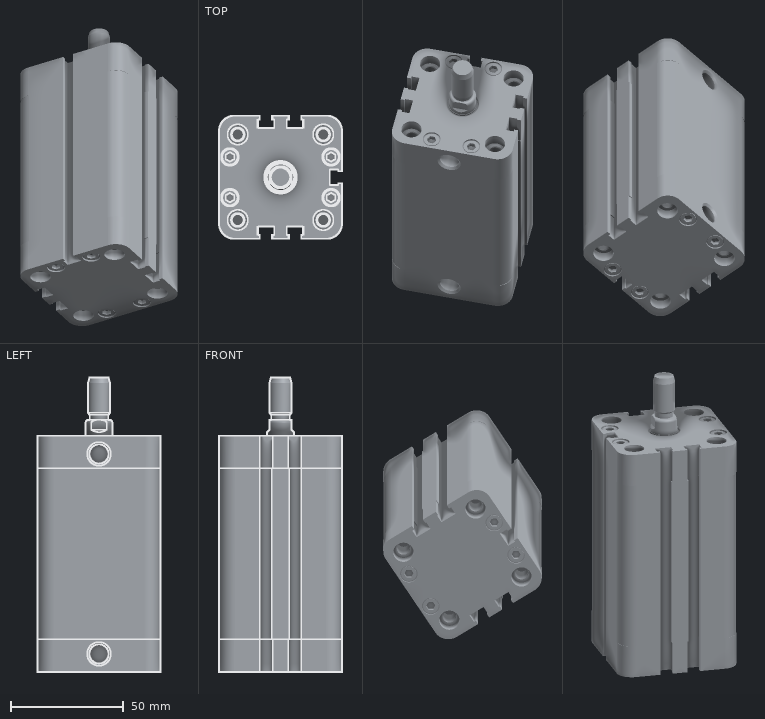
import cadquery as cq
import math

side = 54.8
total_height = 131.0
body_top = 105.0
cap_height = 14.5
cap_corner_radius = 6.8
barrel_corner_radius = 7.2
half_side = side / 2

slot_depth = 5.5
lip_thickness = 1.8
pocket_near = 2.9
mouth_far = 9.2
cap_pocket_far = 10.2
cap_mouth_near = 3.4
barrel_pocket_far = 9.8
barrel_mouth_near = 3.8
side_slot_mouth = 5.2
side_slot_width = 6.8

mount_spacing = 38.0
mount_diameter = 5.2
mount_chamfer = 0.4
counterbore_diameter = 9.0
counterbore_depth = 5.2

screw_spacing_x = 44.9
screw_spacing_y = 18.1
screw_seat_diameter = 7.9
screw_head_diameter = 6.8
screw_head_drop = 0.4
screw_gap_depth = 0.8
socket_flats = 3.7
socket_depth = 2.0

port_height = 8.1
port_diameter = 8.5
port_mouth_diameter = 10.5
port_chamfer = (port_mouth_diameter - port_diameter) / 2
bore_diameter = 40.0

rod_diameter = 12.0
rod_fillet = 1.5
rod_shoulder = 112.1
neck_diameter = 8.3
thread_diameter = 10.0
thread_bottom = 115.1
tip_height = 2.6
tip_diameter = 8.5
flat_width = 10.0
flat_bottom = 107.7
seal_mouth_diameter = 14.5
seal_outer_diameter = 13.8
seal_inner_diameter = 12.6
seal_groove_depth = 0.7


def square_prism(height, corner_radius):
    return cq.Workplane("XY").rect(side, side).extrude(height).edges("|Z").fillet(corner_radius)


def t_slot(height, mouth_start, mouth_end, pocket_start, pocket_end):
    """T-slot cutter open towards -Y, its mouth on the -Y side of the body."""
    mouth_y = -half_side
    lip_y = mouth_y + lip_thickness
    floor_y = mouth_y + slot_depth
    outline = [
        (mouth_start, mouth_y),
        (mouth_start, lip_y),
        (pocket_start, lip_y),
        (pocket_start, floor_y),
        (pocket_end, floor_y),
        (pocket_end, lip_y),
        (mouth_end, lip_y),
        (mouth_end, mouth_y),
    ]
    return cq.Workplane("XY").polyline(outline).close().extrude(height)


def cut_slots(block, height, mouth_near, pocket_far):
    right_slot = t_slot(height, mouth_near, mouth_far, pocket_near, pocket_far)
    for slot in (right_slot, right_slot.mirror("YZ")):
        block = block.cut(slot).cut(slot.mirror("XZ"))
    half_mouth = side_slot_mouth / 2
    half_width = side_slot_width / 2
    side_slot = t_slot(height, -half_mouth, half_mouth, -half_width, half_width)
    return block.cut(side_slot.rotate((0, 0, 0), (0, 0, 1), 90))


def port_cutter():
    """Blind port that enters from the -X face and ends on the bore cylinder."""
    profile = [
        (-half_side, 0),
        (-half_side, port_mouth_diameter / 2),
        (-half_side + port_chamfer, port_diameter / 2),
        (0, port_diameter / 2),
        (0, 0),
    ]
    hole = cq.Workplane("XY").polyline(profile).close().revolve(360, (0, 0, 0), (1, 0, 0))
    bore = cq.Workplane("XY").circle(bore_diameter / 2).extrude(side, both=True)
    return hole.cut(bore)


def mounting_hole():
    """Counterbored through hole on the Z axis, with a small countersink at the counterbore floor."""
    counterbore_radius = counterbore_diameter / 2
    hole_radius = mount_diameter / 2
    floor = cap_height - counterbore_depth
    profile = [
        (0, 0),
        (hole_radius, 0),
        (hole_radius, floor - mount_chamfer),
        (hole_radius + mount_chamfer, floor),
        (counterbore_radius, floor),
        (counterbore_radius, cap_height),
        (0, cap_height),
    ]
    return cq.Workplane("XZ").polyline(profile).close().revolve(360, (0, 0, 0), (0, 1, 0))


def screw_recess():
    """Space around one screw head: sunken seat, ring gap and hex socket."""
    head_top = cap_height - screw_head_drop
    socket_corners = socket_flats / math.cos(math.pi / 6)
    seat = cq.Workplane("XY", origin=(0, 0, cap_height)).circle(screw_seat_diameter / 2)
    seat = seat.extrude(-screw_gap_depth)
    head = cq.Workplane("XY").circle(screw_head_diameter / 2).extrude(head_top)
    socket = cq.Workplane("XY").polygon(6, socket_corners).extrude(-socket_depth)
    socket = socket.rotate((0, 0, 0), (0, 0, 1), 30).translate((0, 0, head_top))
    return seat.cut(head).union(socket)


def cut_at_corners(block, cutter, spacing_x, spacing_y):
    for x in (-spacing_x / 2, spacing_x / 2):
        for y in (-spacing_y / 2, spacing_y / 2):
            block = block.cut(cutter.translate((x, y, 0)))
    return block


def make_cap():
    """Cap with its outer end face at the top."""
    cap = square_prism(cap_height, cap_corner_radius)
    cap = cut_slots(cap, cap_height, cap_mouth_near, cap_pocket_far)
    cap = cut_at_corners(cap, mounting_hole(), mount_spacing, mount_spacing)
    cap = cut_at_corners(cap, screw_recess(), screw_spacing_x, screw_spacing_y)
    return cap.cut(port_cutter().translate((0, 0, cap_height - port_height)))


def seal_groove():
    """Ring groove around the rod, chamfered at its outer edge."""
    outer_radius = seal_outer_diameter / 2
    inner_radius = seal_inner_diameter / 2
    mouth_radius = seal_mouth_diameter / 2
    floor = cap_height - seal_groove_depth
    profile = [
        (inner_radius, floor),
        (outer_radius, floor),
        (outer_radius, cap_height - (mouth_radius - outer_radius)),
        (mouth_radius, cap_height),
        (inner_radius, cap_height),
    ]
    return cq.Workplane("XZ").polyline(profile).close().revolve(360, (0, 0, 0), (0, 1, 0))


def make_upper_cap():
    rod_hole = cq.Workplane("XY").circle(rod_diameter / 2).extrude(cap_height)
    cap = make_cap().cut(rod_hole).cut(seal_groove())
    return cap.translate((0, 0, body_top - cap_height))


def make_lower_cap():
    return make_cap().mirror("XY").translate((0, 0, cap_height))


def make_barrel():
    height = body_top - 2 * cap_height
    barrel = square_prism(height, barrel_corner_radius)
    barrel = cut_slots(barrel, height, barrel_mouth_near, barrel_pocket_far)
    return barrel.translate((0, 0, cap_height))


def make_rod():
    """Rod seated in the upper cap, with a threaded end, a neck and two wrench flats."""
    rod_radius = rod_diameter / 2
    neck_radius = neck_diameter / 2
    thread_radius = thread_diameter / 2
    rod_base = body_top - cap_height
    thread_runout = thread_radius - neck_radius
    arc_inset = rod_fillet * (1 - math.sqrt(0.5))
    arc_middle = (rod_radius - arc_inset, rod_shoulder - arc_inset)
    arc_end = (rod_radius - rod_fillet, rod_shoulder)
    rod = (
        cq.Workplane("XZ")
        .moveTo(0, rod_base)
        .lineTo(rod_radius, rod_base)
        .lineTo(rod_radius, rod_shoulder - rod_fillet)
        .threePointArc(arc_middle, arc_end)
        .lineTo(neck_radius, rod_shoulder)
        .lineTo(neck_radius, thread_bottom - thread_runout)
        .lineTo(thread_radius, thread_bottom)
        .lineTo(thread_radius, total_height - tip_height)
        .lineTo(tip_diameter / 2, total_height)
        .lineTo(0, total_height)
        .close()
        .revolve(360, (0, 0, 0), (0, 1, 0))
    )
    flat_depth = (rod_diameter - flat_width) / 2
    flat = (
        cq.Workplane("XZ")
        .moveTo(flat_width / 2, rod_shoulder)
        .lineTo(flat_width / 2, flat_bottom)
        .lineTo(rod_radius, flat_bottom - flat_depth)
        .lineTo(rod_radius, rod_shoulder)
        .close()
        .extrude(rod_radius, both=True)
    )
    return rod.cut(flat).cut(flat.mirror("YZ"))


lower_cap = make_lower_cap()
barrel = make_barrel()
upper_cap = make_upper_cap()
rod = make_rod()

result = cq.Compound.makeCompound([lower_cap.val(), barrel.val(), upper_cap.val(), rod.val()])